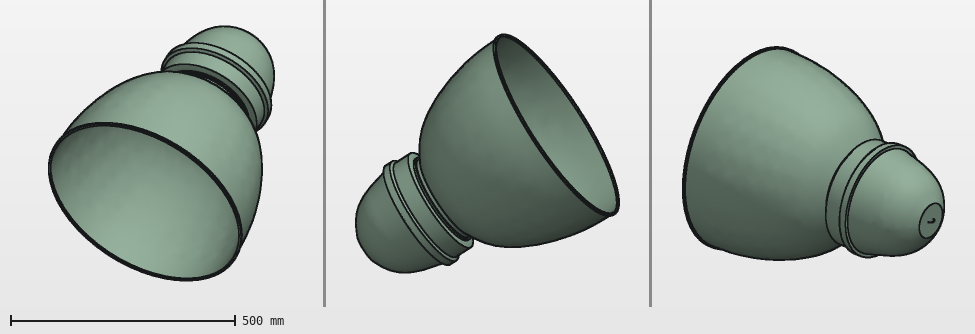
import cadquery as cq


rim_radius = 237.5
rim_height = 5.0
bell_radius = 234.5
bell_top = 303.0
wall = 2.0

neck_radius = 103.0
neck_height = 9.0
step_radius = 108.0
step_height = 5.0
housing_radius = 125.0
housing_floor_radius = 114.5
housing_chamfer_height = 3.0
housing_straight_height = 40.0
band_radius = 132.0
band_cone_height = 5.0
band_height = 17.5

dome_base_radius = 124.0
dome_flat_radius = 41.0
dome_height = 138.5

globe_radius = 32.0
globe_sink = 6.0

total_length = 529.0
loop_radius = 9.0
wire_radius = 0.8

neck_top = bell_top + neck_height
step_top = neck_top + step_height
chamfer_top = step_top + housing_chamfer_height
housing_top = chamfer_top + housing_straight_height
band_bottom = housing_top + band_cone_height
band_top = band_bottom + band_height
dome_top = band_top + dome_height
loop_center = total_length - loop_radius - wire_radius

bell_curve = [(230.0, 80), (215.0, 147), (191.0, 209), (160.0, 258)]
bell_rim_direction = (0, 1)
bell_neck_direction = (-1.7, 1)

dome_curve = [(116.5, 416), (106.0, 451), (88.0, 485)]
dome_base_direction = (-0.2, 1)
dome_flat_direction = (-2, 1)


def revolve_about_y(profile):
    return profile.close().revolve(360, (0, 0, 0), (0, 1, 0))


def bell_solid(start_y, inset):
    """Solid inside the bell curve, with every radius reduced by inset."""
    points = [(radius - inset, y) for radius, y in bell_curve]
    points.append((neck_radius - inset, bell_top))
    profile = (
        cq.Workplane("XY")
        .moveTo(0, 0)
        .lineTo(bell_radius - inset, 0)
        .lineTo(bell_radius - inset, start_y)
        .spline(points, tangents=[bell_rim_direction, bell_neck_direction], includeCurrent=True)
        .lineTo(0, bell_top)
    )
    return revolve_about_y(profile)


def rim():
    profile = cq.Workplane("XY").polyline([
        (0, 0),
        (rim_radius, 0),
        (rim_radius, rim_height),
        (0, rim_height),
    ])
    return revolve_about_y(profile)


def reflector():
    return bell_solid(rim_height, 0).union(rim()).cut(bell_solid(rim_height, wall))


def housing():
    profile = (
        cq.Workplane("XY")
        .moveTo(0, bell_top)
        .lineTo(neck_radius, bell_top)
        .lineTo(neck_radius, neck_top)
        .lineTo(step_radius, neck_top)
        .lineTo(step_radius, step_top)
        .lineTo(housing_floor_radius, step_top)
        .lineTo(housing_radius, chamfer_top)
        .lineTo(housing_radius, housing_top)
        .lineTo(band_radius, band_bottom)
        .lineTo(band_radius, band_top)
        .lineTo(dome_base_radius, band_top)
        .spline(
            dome_curve + [(dome_flat_radius, dome_top)],
            tangents=[dome_base_direction, dome_flat_direction],
            includeCurrent=True,
        )
        .lineTo(0, dome_top)
    )
    return revolve_about_y(profile)


def lamp_globe():
    """Globe slightly sunk into the flat floor of the reflector."""
    center_y = bell_top - globe_radius + globe_sink
    return cq.Workplane("XY").sphere(globe_radius).translate((0, center_y, 0))


def hanging_loop():
    """Wire half ring in the XY plane, its feet embedded in the dome."""
    return (
        cq.Workplane("XZ", origin=(0, loop_center, 0))
        .center(loop_radius, 0)
        .circle(wire_radius)
        .revolve(180, (-loop_radius, 0, 0), (-loop_radius, 1, 0))
    )


result = reflector().union(housing()).union(lamp_globe()).union(hanging_loop())